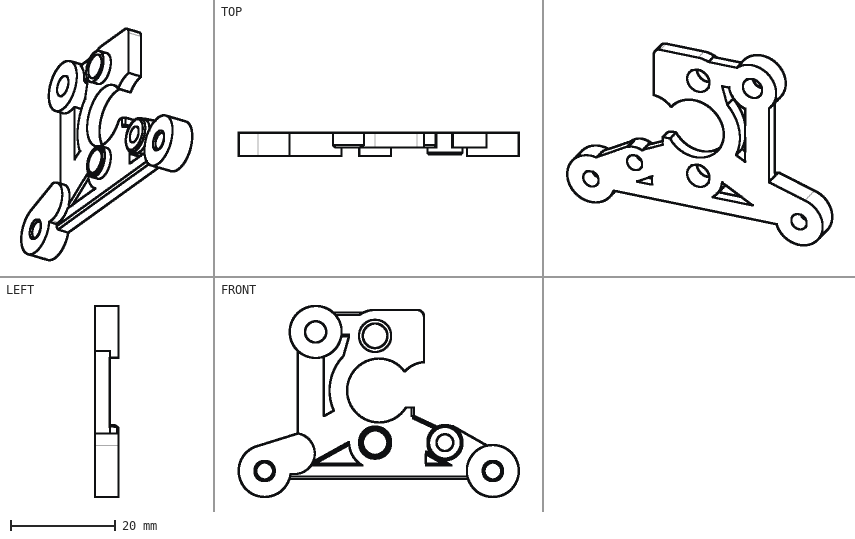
import cadquery as cq
import math


plate_depth = 2.85
pad_depth = 4.5
small_boss_depth = 4.15

overall_length = 53.85
overall_height = 36.75
pad_diameter = 10.0
pad_radius = pad_diameter / 2
left_pad = (0, 0)
right_pad = (overall_length - pad_diameter, 0)
top_pad = (9.8, overall_height - pad_diameter)
top_pad_hole = 4.05
lower_pad_hole = 3.25
countersink_diameter = 3.95

lobe_center = (5.7, 3.35)
lobe_radius = 3.95
lobe_line_start_x = -1.25

boss_x = 21.2
upper_boss = (boss_x, 25.95)
lower_boss = (boss_x, 5.45)
boss_diameter = 6.2
boss_hole = 4.7
boss_web_radius = 5.0
lower_boss_chamfer = 0.3
small_boss = (34.65, lower_boss[1])
small_boss_diameter = 6.8
small_boss_tip_diameter = 6.1
small_boss_hole = 3.2

bore_center = (22.0, 15.45)
bore_diameter = 12.2
ring_radius = 9.55
relief_center = (30.95, bore_center[1])
relief_radius = 5.45

block_right = 30.65
block_top = upper_boss[1] + boss_web_radius
block_bottom = 16.15
block_corner_radius = 1.4
web_top = (16.25, 26.1)
web_bottom = (15.05, 21.75)

bevel = 0.5
window_bevel = 0.4
bottom_bar_low = -1.55
bottom_bar_high = 1.45
upright_left = 6.35
upright_right = 11.35
top_bar_low = 25.85
top_bar_high = 30.5
brace_slope = math.tan(math.radians(29))
brace_low = (16.25, 5.05)
brace_high = (upright_right, 10.55)
brace_low_end = 17.25
brace_high_end = 14
brace_inner_end = (18.3, 8.6)
upright_bottom = 4.4

arm_top = 12.2
arm_right = 28.7
arm_knee = 10.55
arm_end = (32.85, 8.6)
core_right = 30.95
strut_low = (core_right, 3.25)
strut_low_start = 29.6
strut_low_end = 38.8
strut_high = ((36.15, 8.6), (42.6, 4.95))


def slab(points, depth=plate_depth):
    """Closed straight-sided outline, extruded forward from the back face."""
    return cq.Workplane("XZ").polyline(points).close().extrude(depth)


def disc(center, radius, depth=plate_depth):
    return cq.Workplane("XZ").center(*center).circle(radius).extrude(depth)


def box(left, right, low, high):
    return slab([(left, low), (right, low), (right, high), (left, high)])


def bevel_edge(body, start, end, size=bevel):
    """Bevel one straight front edge; material lies left of start -> end."""
    run = end[0] - start[0]
    rise = end[1] - start[1]
    length = math.hypot(run, rise)
    plane = cq.Plane(
        origin=(start[0], -plate_depth, start[1]),
        xDir=(-rise / length, 0, run / length),
        normal=(run, 0, rise),
    )
    corner = [(0, 0), (size, 0), (0, -size)]
    return body.cut(cq.Workplane(plane).polyline(corner).close().extrude(length))


def on_line(point, slope, x):
    return (x, point[1] + slope * (x - point[0]))


def make_bottom_bar():
    left, right = left_pad[0], right_pad[0]
    bar = box(left, right, bottom_bar_low, bottom_bar_high)
    bar = bevel_edge(bar, (left, bottom_bar_low), (right, bottom_bar_low))
    return bevel_edge(bar, (right, bottom_bar_high), (left, bottom_bar_high), window_bevel)


def make_top_bar():
    left, right = top_pad[0], boss_x
    bar = box(left, right, top_bar_low, top_bar_high)
    bar = bevel_edge(bar, (left, top_bar_low), (right, top_bar_low), window_bevel)
    return bevel_edge(bar, (right, top_bar_high), (left, top_bar_high))


def make_brace():
    low_start = on_line(brace_low, brace_slope, upright_left)
    low_end = on_line(brace_low, brace_slope, brace_low_end)
    high_end = on_line(brace_high, brace_slope, brace_high_end)
    high_start = on_line(brace_high, brace_slope, upright_left)
    brace = slab([low_start, low_end, brace_inner_end, high_end, high_start])
    return bevel_edge(brace, low_start, low_end)


def make_upright():
    return box(upright_left, upright_right, upright_bottom, top_pad[1])


def make_ring():
    ring = disc(bore_center, ring_radius)
    left_half = box(
        bore_center[0] - ring_radius, bore_center[0],
        bore_center[1] - ring_radius, bore_center[1] + ring_radius,
    )
    return ring.intersect(left_half)


def make_upper_block():
    block = slab([
        web_bottom, (bore_center[0], block_bottom), (block_right, block_bottom),
        (block_right, block_top), (boss_x, block_top), web_top,
    ])
    block = block.edges("|Y and >X").edges(">Z").fillet(block_corner_radius)
    return block.union(disc(upper_boss, boss_web_radius)).cut(disc(relief_center, relief_radius))


def make_arm():
    knee = (arm_right, arm_knee)
    arm = slab([
        (boss_x, 0), (core_right, 0), (core_right, lower_boss[1]), small_boss,
        arm_end, knee, (arm_right, arm_top), (boss_x, arm_top),
    ])
    arm = bevel_edge(arm, arm_end, knee)
    arm = bevel_edge(arm, knee, (arm_right, arm_top))
    return arm.union(disc(lower_boss, boss_web_radius))


def make_strut():
    low_start = on_line(strut_low, -brace_slope, strut_low_start)
    low_end = on_line(strut_low, -brace_slope, strut_low_end)
    strut = slab([
        low_start, low_end, right_pad, strut_high[1], strut_high[0],
        (core_right, lower_boss[1]),
    ])
    return bevel_edge(strut, low_start, low_end)


def make_left_lobe():
    """Tapered bridge from the left pad to a round end."""
    line_start = (lobe_line_start_x, math.sqrt(pad_radius**2 - lobe_line_start_x**2))
    shoulder_x = upright_left
    shoulder_rise = math.sqrt(lobe_radius**2 - (shoulder_x - lobe_center[0]) ** 2)
    shoulder = (shoulder_x, lobe_center[1] + shoulder_rise)
    lobe_right = (lobe_center[0] + lobe_radius, lobe_center[1])
    lobe_bottom = (lobe_center[0], lobe_center[1] - lobe_radius)
    return (
        cq.Workplane("XZ")
        .moveTo(*line_start)
        .lineTo(*shoulder)
        .threePointArc(lobe_right, lobe_bottom)
        .lineTo(left_pad[0], lobe_bottom[1])
        .close()
        .extrude(pad_depth)
    )


def make_bosses():
    small_chamfer = (small_boss_diameter - small_boss_tip_diameter) / 2
    upper = disc(upper_boss, boss_diameter / 2, pad_depth)
    lower = disc(lower_boss, boss_diameter / 2, pad_depth)
    lower = lower.faces("<Y").chamfer(lower_boss_chamfer)
    small = disc(small_boss, small_boss_diameter / 2, small_boss_depth)
    small = small.faces("<Y").chamfer(small_chamfer)
    return [upper, lower, small]


def countersink(center):
    """Through hole with a 45 degree countersink on the pad's front face."""
    depth = (countersink_diameter - lower_pad_hole) / 2
    front = cq.Workplane("XZ", origin=(0, depth - pad_depth, 0)).center(*center)
    cone = front.circle(lower_pad_hole / 2).workplane(offset=depth)
    cone = cone.circle(countersink_diameter / 2).loft()
    return disc(center, lower_pad_hole / 2, pad_depth).union(cone)


body = make_ring()
frame = [
    make_upper_block(), make_arm(), make_strut(), make_bottom_bar(),
    make_top_bar(), make_brace(), make_upright(), make_left_lobe(),
]
pads = [disc(center, pad_radius, pad_depth) for center in (left_pad, right_pad, top_pad)]
for piece in frame + pads + make_bosses():
    body = body.union(piece)

body = body.cut(disc(bore_center, bore_diameter / 2))
holes = [
    (top_pad, top_pad_hole),
    (upper_boss, boss_hole),
    (lower_boss, boss_hole),
    (small_boss, small_boss_hole),
]
for center, diameter in holes:
    body = body.cut(disc(center, diameter / 2, pad_depth))
for center in (left_pad, right_pad):
    body = body.cut(countersink(center))

result = body